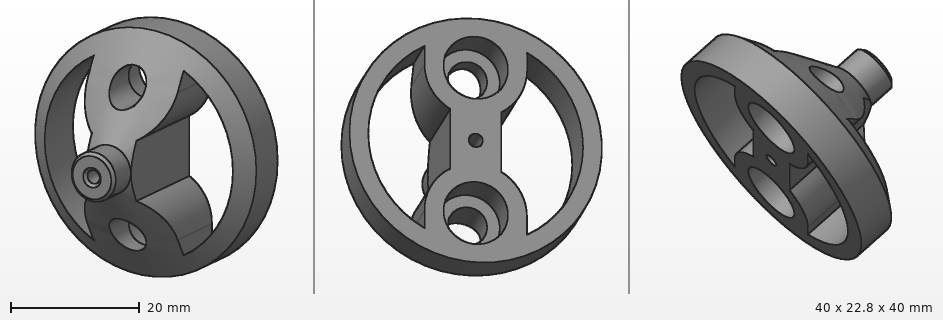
import cadquery as cq

rim_diameter = 40.0
rim_depth = 6.5
window_diameter = 34.0
cone_end = 17.75
hub_diameter = 8.0
total_depth = 22.8
hub_chamfer = 0.5

bore_diameter = 2.2
countersink_diameter = 3.2
countersink_angle = 90.0

lobe_diameter = 16.25
lobe_hole_diameter = 6.2
counterbore_diameter = 10.2
counterbore_depth = 6.5
lobe_offset = 11.9
web_clearance = 0.05
web_width = hub_diameter + 2 * web_clearance


def turned_body():
    """Rim, cone and hub as one solid of revolution."""
    rim_radius = rim_diameter / 2
    hub_radius = hub_diameter / 2
    half_profile = (
        cq.Workplane("XY")
        .moveTo(0, 0)
        .lineTo(rim_radius, 0)
        .lineTo(rim_radius, -rim_depth)
        .lineTo(hub_radius, -cone_end)
        .lineTo(hub_radius, -total_depth)
        .lineTo(0, -total_depth)
        .close()
    )
    body = half_profile.revolve(360, (0, 0, 0), (0, 1, 0))
    return body.faces("<Y").edges().chamfer(hub_chamfer)


def spoke_block():
    """Web and round-ended lobes that remain standing across the window."""
    block = cq.Workplane("XZ").rect(web_width, 2 * lobe_offset).extrude(total_depth)
    straight_length = rim_diameter / 2 - lobe_offset
    for side in (-1, 1):
        lobe_z = side * lobe_offset
        lobe = cq.Workplane("XZ").center(0, lobe_z).circle(lobe_diameter / 2).extrude(total_depth)
        straight = (
            cq.Workplane("XZ")
            .center(0, lobe_z + side * straight_length / 2)
            .rect(lobe_diameter, straight_length)
            .extrude(total_depth)
        )
        block = block.union(lobe).union(straight)
    return block


def windows():
    """The two openings between the rim and the spokes."""
    disc = cq.Workplane("XZ").circle(window_diameter / 2).extrude(total_depth)
    return disc.cut(spoke_block())


def lobe_holes():
    """Through holes in the lobes, counterbored from the flat back."""
    centres = [(0, -lobe_offset), (0, lobe_offset)]
    sketch_plane = cq.Workplane("XZ").pushPoints(centres)
    holes = sketch_plane.circle(lobe_hole_diameter / 2).extrude(total_depth)
    counterbores = sketch_plane.circle(counterbore_diameter / 2).extrude(counterbore_depth)
    return holes.union(counterbores)


body = turned_body().cut(windows()).cut(lobe_holes())
result = body.faces("<Y").workplane(origin=(0, -total_depth, 0)).cskHole(
    bore_diameter, countersink_diameter, countersink_angle
)